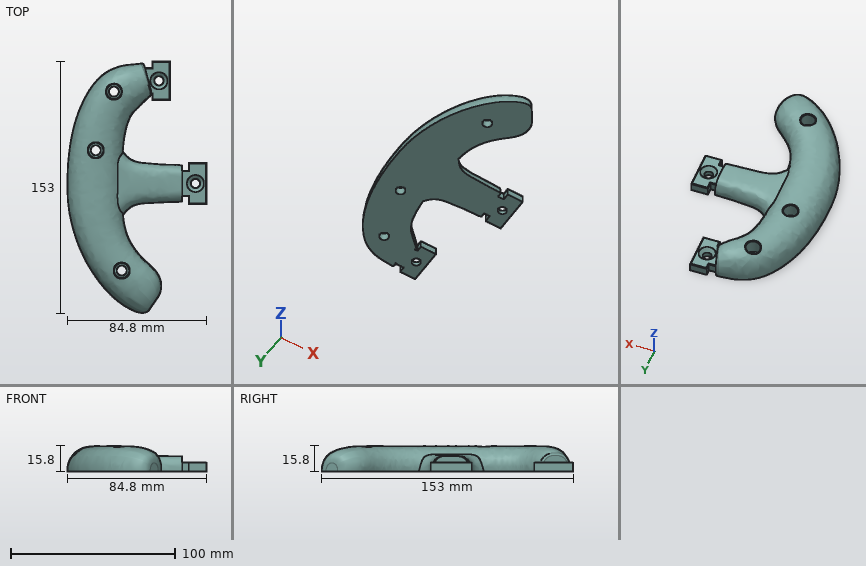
import cadquery as cq

length = 153.1
overall_width = 84.7
handle_height = 15.6
stem_height = 9.6
tab_height = 5.8

handle_stations = [
    ((50.2, 2.6), (55.0, 9.5), 5.5),
    ((44.4, 0.2), (57.0, 15.3), 11.3),
    ((37.5, 2.8), (55.9, 21.5), 13.8),
    ((24.8, 12.7), (47.2, 31.4), handle_height),
    ((10.0, 34.2), (37.5, 44.0), handle_height),
    ((2.0, 57.1), (33.7, 57.5), handle_height),
    ((0.0, 79.6), (33.0, 79.6), handle_height),
    ((2.0, 104.1), (33.8, 104.1), handle_height),
    ((8.1, 125.5), (37.0, 117.8), handle_height),
    ((22.0, 145.3), (42.1, 125.0), handle_height),
    ((37.0, 151.1), (47.8, 130.2), 14.2),
    ((46.4, 152.2), (51.5, 133.5), 11.0),
]
handle_profile = [(0, 0), (0.09, 0.62), (0.22, 0.86), (0.48, 1), (0.8, 0.88), (0.95, 0.62), (1, 0)]
stem_profile = [(0, 0), (0.02, 0.45), (0.1, 0.8), (0.5, 1), (0.9, 0.8), (0.98, 0.45), (1, 0)]

stem_stations = [
    (28.3, 54.4, 104.1, 10.7),
    (33.7, 59.4, 98.3, 10.3),
    (39.8, 65.1, 93.0, 10.0),
    (47.5, 66.8, 91.3, stem_height),
    (55.1, 67.2, 90.7, stem_height),
    (62.8, 67.5, 90.4, stem_height),
    (69.8, 68.0, 89.7, stem_height),
]

tab_length = 10.9
neck_width = 15.8
tab_hole_offset = 4.1
tab_hole_diameter = 5.5
countersink_diameter = 10.4
countersink_angle = 90
tab_chamfer = 0.5
stem_tab_x = overall_width - tab_length
stem_tab_y = 78.9
stem_tab_width = 25.0
stem_neck_length = 6.1
end_tab_x = 51.6
end_tab_width = 23.6
end_tab_y = length - end_tab_width / 2
end_neck_length = 6.1
upper_end_fillet = 1.8

screw_hole_centers = [(33.1, 25.9), (17.3, 99.1), (28.3, 134.8)]
screw_hole_diameter = 6.0
counterbore_diameter = 9.0
counterbore_floor = 6.1
counterbore_chamfer = 0.5
rim_zone_bottom = 13.0


def section(start, end, height, profile):
    """Closed upright section standing on the chord from start to end."""
    dx = end[0] - start[0]
    dy = end[1] - start[1]
    points = [
        cq.Vector(start[0] + across * dx, start[1] + across * dy, up * height)
        for across, up in profile
    ]
    dome = cq.Edge.makeSpline(points)
    base = cq.Edge.makeLine(points[-1], points[0])
    return cq.Wire.assembleEdges([dome, base])


def make_handle():
    wires = [section(*station, handle_profile) for station in handle_stations]
    handle = cq.Workplane(cq.Solid.makeLoft(wires))
    start, end, _ = handle_stations[-1]
    end_center = ((start[0] + end[0]) / 2, (start[1] + end[1]) / 2, 0)
    end_face = handle.faces(cq.selectors.NearestToPointSelector(end_center))
    return end_face.edges("not %LINE").fillet(upper_end_fillet)


def make_stem():
    wires = [
        section((x, low), (x, high), height, stem_profile)
        for x, low, high, height in stem_stations
    ]
    return cq.Workplane(cq.Solid.makeLoft(wires))


def make_tab(x, y, width, neck_length):
    """T-shaped tab with its head starting at x and its neck reaching back toward -X."""
    head = cq.Workplane().box(tab_length, width, tab_height, centered=(False, True, False))
    neck = (
        cq.Workplane()
        .box(neck_length + tab_length / 2, neck_width, tab_height, centered=(False, True, False))
        .translate((-neck_length, 0, 0))
    )
    tab = head.union(neck).faces(">Z").chamfer(tab_chamfer)
    tab = (
        tab.faces(">Z").workplane(origin=(tab_hole_offset, 0, tab_height))
        .cskHole(tab_hole_diameter, countersink_diameter, countersink_angle)
    )
    return tab.translate((x, y, 0))


def cylinders(diameter, floor):
    return (
        cq.Workplane().workplane(offset=floor)
        .pushPoints(screw_hole_centers).circle(diameter / 2).extrude(2 * handle_height)
    )


body = make_handle().union(make_stem())
body = body.cut(cylinders(screw_hole_diameter, 0))
body = body.cut(cylinders(counterbore_diameter, counterbore_floor))

for center_x, center_y in screw_hole_centers:
    rim_zone = cq.selectors.BoxSelector(
        (center_x - counterbore_diameter, center_y - counterbore_diameter, rim_zone_bottom),
        (center_x + counterbore_diameter, center_y + counterbore_diameter, 2 * handle_height),
    )
    body = body.edges(rim_zone).edges("not %LINE").chamfer(counterbore_chamfer)

body = body.union(make_tab(stem_tab_x, stem_tab_y, stem_tab_width, stem_neck_length))
result = body.union(make_tab(end_tab_x, end_tab_y, end_tab_width, end_neck_length))